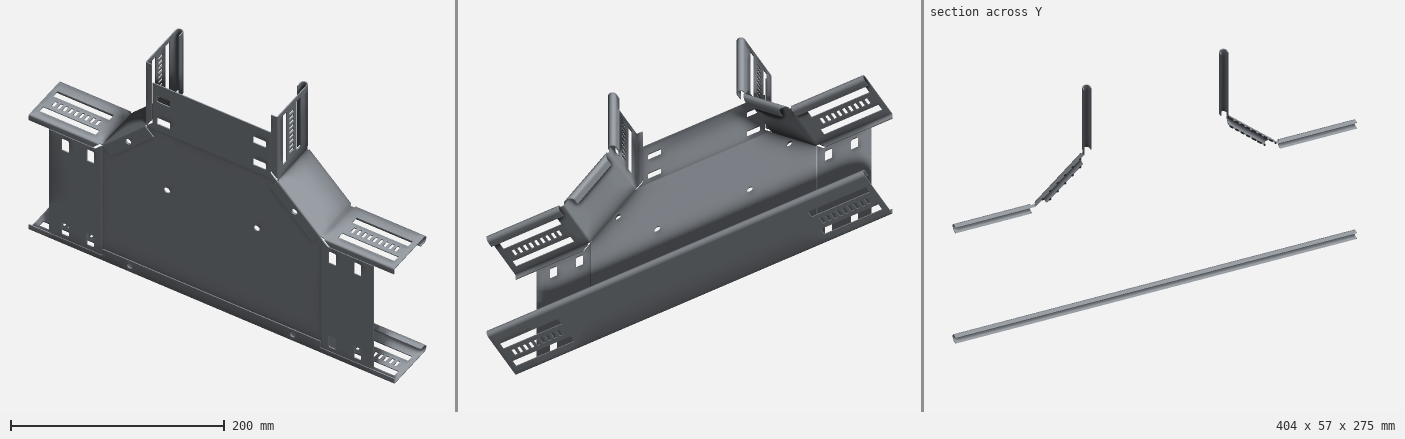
import cadquery as cq
import math

total_length = 404.0
depth = 57.0
tray_width = 146.0
arm_length = 80.5
sheet = 1.0

half_length = total_length / 2
corner_leg = half_length - arm_length - tray_width / 2
shoulder_x = half_length - arm_length
neck_z = tray_width + corner_leg
diagonal_length = corner_leg * math.sqrt(2)

bend_radius = 1.8
lip_width = 7.0
hook_width = 8.0
hook_length = 9.5
fold_radius = 2.0

free_end = (0, 0)
lip_trim = (2.5, 1)
arm_hook_trim = (3.2, 0)
diagonal_hook_trim = (1.2, 1)

tab_width = 13.7
tab_end_gap = 1.2
strip_width = 15.0
strip_end_gap = 1.2
fixing_hole_diameter = 6.5
tab_hole_inset = 7.5
strip_hole_inset = 8.5
strip_hole_x = 90.0

slot_length = 62.2
slot_end_distance = 5.5
slot_width = 7.3
rear_slot_width = 8.0
slot_row_pitch = 12.0
short_slot_y = 25.5
short_slot_count = 9
short_slot_span = 48.0
short_slot_length = 3.0
short_slot_pitch = short_slot_span / (short_slot_count - 1)
slot_centre = slot_end_distance + slot_length / 2

plate_setback = 22.5
plate_lip_gap = 1.0
plate_hole_x = 49.5
plate_hole_z = 123.0
window_length = 14.5
window_width = 8.0
window_wall_distance = 12.5
window_corner_radius = 1.5
window_outer_distance = 40.5
window_pitch = 28.0


def lip_profile(width):
    """Section (Y, Z) of the front edge turned inwards, outer wall face at Z = 0."""
    inner = bend_radius - sheet
    reach = math.sqrt(0.5)
    return (
        cq.Workplane("YZ")
        .moveTo(bend_radius, 0)
        .threePointArc(
            (bend_radius * (1 - reach), -bend_radius * (1 - reach)), (0, -bend_radius)
        )
        .lineTo(0, -width)
        .lineTo(sheet, -width)
        .lineTo(sheet, -bend_radius)
        .threePointArc(
            (bend_radius - inner * reach, -bend_radius + inner * reach), (bend_radius, -sheet)
        )
        .close()
    )


def hook_profile():
    """Section (Y, Z) of the rear edge rolled back through a half turn."""
    radius = hook_width / 2
    tangent_y = depth - radius
    return (
        cq.Workplane("YZ")
        .moveTo(tangent_y, 0)
        .threePointArc((depth, -radius), (tangent_y, -hook_width))
        .lineTo(depth - hook_length, -hook_width)
        .lineTo(depth - hook_length, sheet - hook_width)
        .lineTo(tangent_y, sheet - hook_width)
        .threePointArc((depth - sheet, -radius), (tangent_y, -sheet))
        .close()
    )


def trimmed_edge(profile, length, start_trim, end_trim):
    """Bent edge running along X, with each end cut back by its trim."""
    reach = max(lip_width, hook_width)
    (start_gap, start_slope), (end_gap, end_slope) = start_trim, end_trim
    outline = (
        cq.Workplane("XZ")
        .polyline([
            (start_gap, 0),
            (length - end_gap, 0),
            (length - end_gap - end_slope * reach, -reach),
            (start_gap + start_slope * reach, -reach),
        ])
        .close()
        .extrude(-depth)
    )
    return profile.extrude(length).intersect(outline)


def place(body, start, angle=0):
    """Turn a body from +X towards +Z by an angle and move it to a start point (X, Z)."""
    return body.rotate((0, 0, 0), (0, 1, 0), -angle).translate((start[0], 0, start[1]))


def box_between(x_range, y_range, z_range):
    (x0, x1), (y0, y1), (z0, z1) = x_range, y_range, z_range
    return cq.Workplane("XY").box(x1 - x0, y1 - y0, z1 - z0, centered=False).translate((x0, y0, z0))


def wall_slots(rear_width):
    """Cutter for one arm wall along X: two long slots and a row of short ones between them."""
    wall = (-2 * sheet, sheet)
    long_x = (slot_end_distance, slot_end_distance + slot_length)
    front_y = short_slot_y - slot_row_pitch - slot_width / 2
    rear_y = short_slot_y + slot_row_pitch - slot_width / 2
    cutter = box_between(long_x, (front_y, front_y + slot_width), wall)
    cutter = cutter.union(box_between(long_x, (rear_y, rear_y + rear_width), wall))
    short_y = (short_slot_y - slot_width / 2, short_slot_y + slot_width / 2)
    for index in range(short_slot_count):
        centre = slot_centre - short_slot_span / 2 + index * short_slot_pitch
        short_x = (centre - short_slot_length / 2, centre + short_slot_length / 2)
        cutter = cutter.union(box_between(short_x, short_y, wall))
    return cutter


def fixing_holes(points):
    """Cutter through the front sheets at the given (X, Z) points."""
    return (
        cq.Workplane("XZ").pushPoints(points).circle(fixing_hole_diameter / 2).extrude(-2 * bend_radius)
    )


tab_hole_x = shoulder_x - corner_leg / 2 - tab_hole_inset / math.sqrt(2)
tab_hole_z = tray_width + corner_leg / 2 - tab_hole_inset / math.sqrt(2)
tab_holes = fixing_holes([(-tab_hole_x, tab_hole_z), (tab_hole_x, tab_hole_z)])
strip_holes = fixing_holes([(-strip_hole_x, strip_hole_inset), (strip_hole_x, strip_hole_inset)])


def make_corner_wall():
    """Left wall: side arm, diagonal and upper arm folded from one strip."""
    arm_start = (-half_length, tray_width)
    shoulder = (-shoulder_x, tray_width)
    neck = (-tray_width / 2, neck_z)
    top_z = neck_z + arm_length
    fold_shift = sheet * math.tan(math.pi / 8)

    flat = (
        cq.Workplane("XZ", origin=(0, bend_radius, 0))
        .polyline([
            arm_start,
            shoulder,
            neck,
            (neck[0], top_z),
            (neck[0] + sheet, top_z),
            (neck[0] + sheet, neck_z - fold_shift),
            (shoulder[0] + fold_shift, tray_width - sheet),
            (arm_start[0], tray_width - sheet),
        ])
        .close()
        .extrude(-(depth - hook_width / 2 - bend_radius))
    )
    for x, z in (shoulder, neck):
        inner_x = x + (fold_shift if z == tray_width else sheet)
        inner_z = z - (sheet if z == tray_width else fold_shift)
        flat = flat.edges(cq.selectors.NearestToPointSelector((x, depth / 2, z))).fillet(fold_radius)
        flat = flat.edges(cq.selectors.NearestToPointSelector((inner_x, depth / 2, inner_z))).fillet(
            fold_radius + sheet
        )

    wall = flat
    hook_runs = (
        (arm_start, 0, arm_length, free_end, arm_hook_trim),
        (shoulder, 45, diagonal_length, diagonal_hook_trim, diagonal_hook_trim),
        (neck, 90, arm_length, arm_hook_trim, free_end),
    )
    for start, angle, length, start_trim, end_trim in hook_runs:
        wall = wall.union(place(trimmed_edge(hook_profile(), length, start_trim, end_trim), start, angle))

    lip_runs = (
        (arm_start, 0, free_end, lip_trim),
        (neck, 90, lip_trim, free_end),
    )
    for start, angle, start_trim, end_trim in lip_runs:
        lip = trimmed_edge(lip_profile(lip_width), arm_length, start_trim, end_trim)
        wall = wall.union(place(lip, start, angle))

    tab = lip_profile(tab_width).extrude(diagonal_length - 2 * tab_end_gap).translate((tab_end_gap, 0, 0))
    wall = wall.union(place(tab, shoulder, 45))

    slots = wall_slots(rear_slot_width)
    wall = wall.cut(place(slots, arm_start))
    wall = wall.cut(place(slots.mirror("YZ"), (neck[0], top_z), 90))
    return wall.cut(tab_holes)


def make_bottom_wall():
    """Straight wall with hook and lip; the lip widens to a fixing strip across the middle."""
    flat = box_between(
        (-half_length, half_length), (bend_radius, depth - hook_width / 2), (0, sheet)
    )
    edges = lip_profile(lip_width).extrude(total_length).union(hook_profile().extrude(total_length))
    wall = flat.union(place(edges, (half_length, 0), 180))
    strip_half = shoulder_x - strip_end_gap
    wall = wall.union(box_between((-strip_half, strip_half), (0, sheet), (bend_radius, strip_width)))
    slots = wall_slots(slot_width)
    left_slots = place(slots, (-half_length, 0))
    return wall.cut(left_slots).cut(left_slots.mirror("YZ")).cut(strip_holes)


def make_plate_arm(flared_sides):
    """Arm of the base plate along +Z from its mouth, stepped forward to lie level with the lips.

    On each flared side (-1 or 1 along X) the mouth widens at 45 degrees past the trimmed lip end.
    """
    tip = arm_length - plate_setback
    half_width = tray_width / 2 - lip_width - plate_lip_gap
    mouth_half_width = tray_width / 2 - sheet
    flare = mouth_half_width - half_width
    half_step = sheet / 2
    section = (
        cq.Workplane("YZ", origin=(-mouth_half_width, 0, 0))
        .polyline([
            (sheet, -bend_radius),
            (sheet, -half_step),
            (0, half_step),
            (0, tip),
            (sheet, tip),
            (sheet, half_step),
            (2 * sheet, -half_step),
            (2 * sheet, -bend_radius),
        ])
        .close()
        .extrude(2 * mouth_half_width)
    )
    outline = box_between((-half_width, half_width), (0, depth), (-bend_radius, tip))
    for side in flared_sides:
        corner = (
            cq.Workplane("XZ")
            .polyline([
                (side * half_width, -half_step),
                (side * mouth_half_width, -half_step),
                (side * mouth_half_width, 0),
                (side * half_width, flare),
            ])
            .close()
            .extrude(-depth)
        )
        outline = outline.union(corner)
    arm = section.intersect(outline)
    outer_x = tray_width / 2 - window_wall_distance
    for row in range(2):
        z = arm_length - window_outer_distance - row * window_pitch
        window = box_between(
            (outer_x - window_length, outer_x), (0, depth), (z - window_width / 2, z + window_width / 2)
        )
        window = window.edges("|Y and >X").fillet(window_corner_radius)
        arm = arm.cut(window).cut(window.mirror("YZ"))
    return arm


def make_base_plate():
    """Middle sheet behind the fixing tabs, with three stepped arms."""
    mouth_x = shoulder_x - sheet / 2
    mouth_z = neck_z - sheet / 2
    diagonal_sum = shoulder_x + tray_width - bend_radius * math.sqrt(2)
    plate = (
        cq.Workplane("XZ", origin=(0, sheet, 0))
        .polyline([
            (-mouth_x, bend_radius),
            (mouth_x, bend_radius),
            (mouth_x, diagonal_sum - mouth_x),
            (diagonal_sum - mouth_z, mouth_z),
            (mouth_z - diagonal_sum, mouth_z),
            (-mouth_x, diagonal_sum - mouth_x),
        ])
        .close()
        .extrude(-sheet)
    )
    arm_places = (
        ((0, neck_z), 0, (-1, 1)),
        ((-shoulder_x, tray_width / 2), 90, (1,)),
        ((shoulder_x, tray_width / 2), -90, (-1,)),
    )
    for start, angle, flared_sides in arm_places:
        plate = plate.union(place(make_plate_arm(flared_sides), start, angle))
    centre_holes = fixing_holes([(-plate_hole_x, plate_hole_z), (plate_hole_x, plate_hole_z)])
    return plate.cut(centre_holes).cut(tab_holes).cut(strip_holes)


base_plate = make_base_plate()
bottom_wall = make_bottom_wall()
left_wall = make_corner_wall()
corner_walls = [left_wall, left_wall.mirror("YZ")]

result = cq.Compound.makeCompound([
    base_plate.solids().val(),
    bottom_wall.solids().val(),
    *[wall.solids().val() for wall in corner_walls],
])